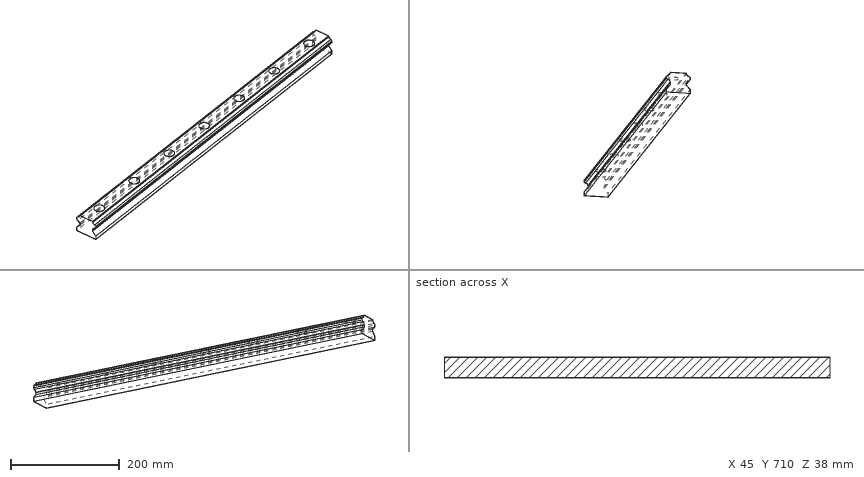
import cadquery as cq

LENGTH = 710.0
WIDTH = 45.0
HEIGHT = 38.0

NECK_WIDTH = 29.0
NECK_BOTTOM = 15.5
NECK_TOP = 19.5

HEAD_MIDDLE = 28.5
HEAD_SIDE_HEIGHT = 3.5
RIM_CHAMFER = 2.5
CROWN_CHAMFER = 1.1

RACEWAY_RADIUS = 4.0

HOLE_COUNT = 7
HOLE_PITCH = 105.0
HOLE_DIAMETER = 20.0
HOLE_RECESS = 0.5

HALF_WIDTH = WIDTH / 2
HALF_NECK = NECK_WIDTH / 2
HALF_RIM = HALF_WIDTH - RIM_CHAMFER
HALF_CROWN = HALF_RIM - RACEWAY_RADIUS
FOOT_HEIGHT = NECK_BOTTOM - (HALF_WIDTH - HALF_NECK)
RIM_OFFSET = HEAD_SIDE_HEIGHT / 2 + RIM_CHAMFER


def rail_profile():
    """Closed rail section in the XZ plane, symmetric about the vertical axis."""
    side_bottom = HEAD_MIDDLE - HEAD_SIDE_HEIGHT / 2
    side_top = HEAD_MIDDLE + HEAD_SIDE_HEIGHT / 2
    rim_bottom = HEAD_MIDDLE - RIM_OFFSET
    rim_top = HEAD_MIDDLE + RIM_OFFSET
    right_half = (
        cq.Workplane("XZ")
        .lineTo(HALF_WIDTH, 0)
        .lineTo(HALF_WIDTH, FOOT_HEIGHT)
        .lineTo(HALF_NECK, NECK_BOTTOM)
        .lineTo(HALF_NECK, NECK_TOP)
        .lineTo(HALF_CROWN, rim_bottom - RACEWAY_RADIUS)
        .radiusArc((HALF_RIM, rim_bottom), RACEWAY_RADIUS)
        .lineTo(HALF_WIDTH, side_bottom)
        .lineTo(HALF_WIDTH, side_top)
        .lineTo(HALF_RIM, rim_top)
        .radiusArc((HALF_CROWN, rim_top + RACEWAY_RADIUS), RACEWAY_RADIUS)
        .lineTo(HALF_CROWN - CROWN_CHAMFER, HEIGHT)
        .lineTo(0, HEIGHT)
    )
    return right_half.mirrorY()


def hole_recesses():
    """Row of thin discs centred along the rail, flush with its top face."""
    return (
        cq.Workplane("XY", origin=(0, 0, HEIGHT))
        .rarray(7, HOLE_PITCH, 1, HOLE_COUNT)
        .circle(HOLE_DIAMETER / 2)
        .extrude(-HOLE_RECESS)
    )


rail = rail_profile().extrude(LENGTH / 2, both=True)
result = rail.cut(hole_recesses()).clean()